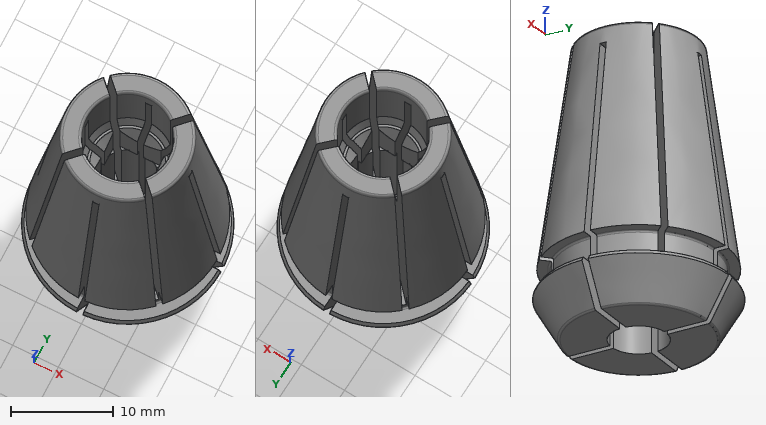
import cadquery as cq
import math

total_height = 31.5

nose_height = 4.8
nose_half_angle = math.radians(30)
rim_radius = 10.397
rim_chamfer = 0.5
bottom_fillet = 0.3

neck_radius = 8.7
neck_top = 7.65
neck_fillet = 0.2

taper_base_radius = 9.98
taper_half_angle = math.radians(8)
top_fillet = 0.3

shank_radius = 3.1
shank_depth = 18.0
square_side = 5.5
countersink_radius = 3.73
countersink_half_angle = math.radians(45)
countersink_top = 23.0
countersink_overlap = 0.05
step_radius = 4.0
step_half_angle = math.radians(30)
upper_bore_radius = 4.5
mouth_fillet = 0.3

slot_width = 0.7
slot_length = 2.2 * rim_radius
lower_slot_top = 29.5
upper_slot_floor = 5.5
lower_slot_angles = (0, 90)
upper_slot_angles = (45, 135)

tolerance = 0.001


def round_edge(body, radius, height, fillet):
    """Fillet the circular edge that has the given radius and height."""

    def is_wanted(edge):
        if edge.geomType() != "CIRCLE":
            return False
        return abs(edge.radius() - radius) < tolerance and abs(edge.Center().z - height) < tolerance

    return body.edges().filter(is_wanted).fillet(fillet)


def make_body():
    """Revolved outside of the collet, with the nose, neck and top edges rounded."""
    rim_top_radius = rim_radius - rim_chamfer * (1 - math.sin(nose_half_angle))
    rim_height = nose_height - rim_chamfer * math.cos(nose_half_angle)
    nose_bottom_radius = rim_radius - rim_height * math.tan(nose_half_angle)
    top_radius = taper_base_radius - (total_height - neck_top) * math.tan(taper_half_angle)

    body = (
        cq.Workplane("XZ")
        .lineTo(nose_bottom_radius, 0)
        .lineTo(rim_radius, rim_height)
        .lineTo(rim_top_radius, nose_height)
        .lineTo(neck_radius, nose_height)
        .lineTo(neck_radius, neck_top)
        .lineTo(taper_base_radius, neck_top)
        .lineTo(top_radius, total_height)
        .lineTo(0, total_height)
        .close()
        .revolve(360, (0, 0, 0), (0, 1, 0))
    )

    body = round_edge(body, nose_bottom_radius, 0, bottom_fillet)
    body = round_edge(body, neck_radius, nose_height, neck_fillet)
    body = round_edge(body, neck_radius, neck_top, neck_fillet)
    return round_edge(body, top_radius, total_height, top_fillet)


def make_bore():
    """Solid that fills the stepped bore, ready to be cut from the body."""
    countersink_bottom_radius = square_side / 2 - countersink_overlap
    countersink_depth = (countersink_radius - countersink_bottom_radius) / math.tan(countersink_half_angle)
    countersink_bottom = countersink_top - countersink_depth
    step_top = countersink_top + (upper_bore_radius - step_radius) / math.tan(step_half_angle)
    round_bore = (
        cq.Workplane("XZ")
        .moveTo(0, countersink_bottom)
        .lineTo(countersink_bottom_radius, countersink_bottom)
        .lineTo(countersink_radius, countersink_top)
        .lineTo(step_radius, countersink_top)
        .lineTo(upper_bore_radius, step_top)
        .lineTo(upper_bore_radius, total_height - mouth_fillet)
        .radiusArc((upper_bore_radius + mouth_fillet, total_height), mouth_fillet)
        .lineTo(0, total_height)
        .close()
        .revolve(360, (0, 0, 0), (0, 1, 0))
    )
    shank_bore = cq.Workplane("XY").circle(shank_radius).extrude(shank_depth)
    square_drive = (
        cq.Workplane("XY")
        .workplane(offset=shank_depth)
        .rect(square_side, square_side)
        .extrude(countersink_top - shank_depth)
    )
    return round_bore.union(shank_bore).union(square_drive)


def make_slot(angle, bottom, top):
    """Blade that cuts right across the collet between two heights."""
    return (
        cq.Workplane("XY")
        .workplane(offset=bottom)
        .rect(slot_length, slot_width)
        .extrude(top - bottom)
        .rotate((0, 0, 0), (0, 0, 1), angle)
    )


result = make_body().cut(make_bore())
for angle in lower_slot_angles:
    result = result.cut(make_slot(angle, 0, lower_slot_top))
for angle in upper_slot_angles:
    result = result.cut(make_slot(angle, upper_slot_floor, total_height))